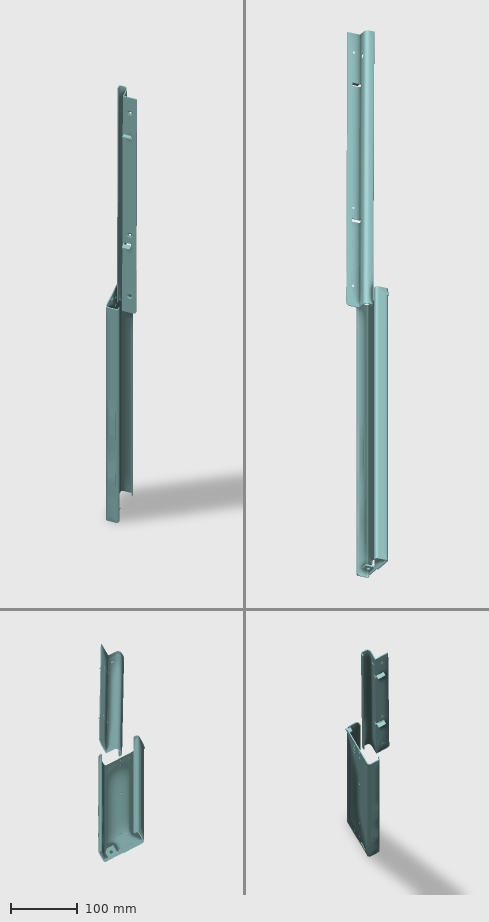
import cadquery as cq

sheet = 1.5
outer_radius = 4.0
rail_length = 450.0
total_length = 885.0

channel_width = 21.0
overall_height = 71.0
dip_depth = 2.0
channel_height = overall_height - dip_depth
upper_lip = 7.5
lower_lip = 6.0
channel_bottom = -total_length / 2
channel_top = channel_bottom + rail_length
end_step = 3.0
end_step_height = 33.0

fixing_diameter = 5.75
hole_pitch = 16.0
lower_row = 27.0
upper_row = lower_row + hole_pitch
fixing_from_top = 35.0
lower_row_depths = [8.0, fixing_from_top, 163.0, 355.0, 419.0]
upper_row_depths = [fixing_from_top - hole_pitch, fixing_from_top, fixing_from_top + hole_pitch, 430.0]

dip_right = channel_width - outer_radius
long_dip = (-239.0, 109.0, 37.0, 6.0)
short_dip = (-352.0, 75.0, 5.0, outer_radius)

bump_reach = 7.0
bump_drop = 8.0
bump_height = 6.0
bump_from_top = 5.0
bump_edge = outer_radius

window_bottom = -435.0
window_height = 16.0
window_low_y = 8.0
window_width = 16.0
window_notch = 5.0
stop_reach = 16.0
stop_thickness = 3.0
stop_chamfer = 4.0
stop_hole_diameter = 5.0
stop_hole_x = 8.0

hook_left = 8.4
hook_width = 15.0
hook_lip = 6.0
limb_right = hook_left + hook_width
flange_right = 44.0
hook_top_y = 39.0
flange_drop = 19.5
flange_top_y = hook_top_y - flange_drop
rail_tilt = 0.43
rail_top = total_length / 2
flange_corner_radius = 5.0
limb_bend_radius = 7.0
hook_bend_radius = 2.2

screw_x = 34.0
screw_depths = [32.0, 288.0, 416]
screw_diameter = 3.5
sink_diameter = 10.0
tab_left = limb_right
tab_width = 12.0
tab_thickness = 3.0
tab_length = 6.0
slot_height = 5.0
upper_slot_depth = 81.0
lower_slot_depth = 305.0
slot_rise = 3.5

limb_hole_diameter = 8.0
limb_hole_y = 26.5
limb_hole_depth = 38.0


def box(x_low, x_high, y_low, y_high, z_low, z_high):
    """Box given by its limits along each axis."""
    size = (x_high - x_low, y_high - y_low, z_high - z_low)
    return cq.Workplane("XY").box(*size, centered=False).translate((x_low, y_low, z_low))


def upright_edge(body, x, y):
    """The edge along Z nearest to the given place in the XY plane."""
    return body.edges("|Z").edges(cq.NearestToPointSelector((x, y, body.val().Center().z)))


def dip_solid(dip, inset, floor_y, drop):
    """Trapezoid trough that sinks from floor_y by drop, narrowed by inset on both sides."""
    centre, length, flat, left = dip
    x_low = left + inset
    x_high = dip_right - inset
    outline = [
        (floor_y, centre - length / 2),
        (floor_y - drop, centre - flat / 2),
        (floor_y - drop, centre + flat / 2),
        (floor_y, centre + length / 2),
    ]
    return cq.Workplane("YZ").polyline(outline).close().extrude(x_high - x_low).translate((x_low, 0, 0))


def channel_profile():
    """Plain C-channel, open towards +X, with rounded corners and two unequal lips."""
    outer = box(0, channel_width, 0, channel_height, channel_bottom, channel_top)
    outer = outer.edges("|Z").fillet(outer_radius)
    cavity = box(sheet, channel_width - sheet, sheet, channel_height - sheet, channel_bottom, channel_top)
    cavity = cavity.edges("|Z").fillet(outer_radius - sheet)
    mouth_high_y = channel_height - upper_lip
    mouth = box(channel_width / 2, channel_width, lower_lip, mouth_high_y, channel_bottom, channel_top)
    return outer.cut(cavity).cut(mouth)


def add_dips(channel):
    """Press the roller dips out of the lower flange, keeping the wall thickness."""
    for dip in (long_dip, short_dip):
        channel = channel.union(dip_solid(dip, 0, 0, dip_depth))
        channel = channel.cut(dip_solid(dip, sheet, sheet, dip_depth))
    return channel


def add_stop_bump(channel):
    """Press a hollow stop bump into the upper corner of the channel."""
    low = channel_top - bump_from_top - bump_height
    high = low + bump_height
    bump = box(0, bump_reach, channel_height - bump_drop, channel_height, low, high)
    recess_low_y = channel_height - bump_drop + sheet
    recess_high_y = channel_height - bump_edge
    recess = box(0, bump_reach - sheet, recess_low_y, recess_high_y, low + sheet, high - sheet)
    return channel.union(bump).cut(recess)


def web_holes():
    """Fixing holes through the web, as one set of cutters."""
    places = [(lower_row, channel_top - depth) for depth in lower_row_depths]
    places += [(upper_row, channel_top - depth) for depth in upper_row_depths]
    return cq.Workplane("YZ").pushPoints(places).circle(fixing_diameter / 2).extrude(sheet)


def window_cutter():
    """Rectangular window with one solid corner at its top, on the flange side."""
    high_y = window_low_y + window_width
    top = window_bottom + window_height
    window = box(0, sheet, window_low_y, high_y, window_bottom, top)
    corner = box(0, sheet, window_low_y, window_low_y + window_notch, top - window_notch, top)
    return window.cut(corner)


def make_cabinet_rail():
    """Cabinet rail with dips, stop bump, fixing holes, window and stepped end."""
    rail = add_stop_bump(add_dips(channel_profile()))
    rail = rail.cut(web_holes()).cut(window_cutter())
    step = box(0, sheet, outer_radius, end_step_height, channel_bottom, channel_bottom + end_step)
    return rail.cut(step)


def make_stop_plate():
    """Plate lying in the window on its lower edge, with one cut corner and a hole."""
    high_y = window_low_y + window_width
    plate = box(0, stop_reach, window_low_y, high_y, window_bottom, window_bottom + stop_thickness)
    plate = upright_edge(plate, stop_reach, window_low_y).chamfer(stop_chamfer)
    hole = cq.Workplane("XY").center(stop_hole_x, window_low_y + window_width / 2)
    hole = hole.circle(stop_hole_diameter / 2).extrude(stop_thickness).translate((0, 0, window_bottom))
    return plate.cut(hole)


def drawer_profile():
    """Hook, limb and flange of the drawer rail, bent from one sheet and hanging down from Z = 0."""
    outline = [
        (hook_left, hook_top_y - hook_lip),
        (hook_left, hook_top_y),
        (limb_right, hook_top_y),
        (limb_right, flange_top_y),
        (flange_right, flange_top_y),
        (flange_right, flange_top_y - sheet),
        (limb_right - sheet, flange_top_y - sheet),
        (limb_right - sheet, hook_top_y - sheet),
        (hook_left + sheet, hook_top_y - sheet),
        (hook_left + sheet, hook_top_y - hook_lip),
    ]
    profile = cq.Workplane("XY").polyline(outline).close().extrude(-rail_length)
    profile = upright_edge(profile, hook_left, hook_top_y).fillet(hook_bend_radius)
    profile = upright_edge(profile, hook_left + sheet, hook_top_y - sheet).fillet(hook_bend_radius - sheet)
    profile = upright_edge(profile, limb_right, hook_top_y).fillet(limb_bend_radius)
    profile = upright_edge(profile, limb_right - sheet, hook_top_y - sheet).fillet(limb_bend_radius - sheet)
    lower_corner = cq.NearestToPointSelector((flange_right, flange_top_y, -rail_length))
    return profile.edges("|Y").edges(lower_corner).fillet(flange_corner_radius)


def screw_hole(depth):
    """Countersunk screw hole, entering the flange from its -Y face."""
    face = cq.Workplane("XZ", origin=(screw_x, flange_top_y - sheet, -depth))
    drill = face.circle(screw_diameter / 2).extrude(-sheet)
    sink = face.circle(sink_diameter / 2).workplane(offset=-sheet).circle(screw_diameter / 2).loft()
    return drill.union(sink)


def limb_hole():
    """Round hole through the limb."""
    start = cq.Workplane("YZ", origin=(limb_right - sheet, limb_hole_y, -limb_hole_depth))
    return start.circle(limb_hole_diameter / 2).extrude(sheet)


def add_tab(rail, slot_depth, tab_is_above):
    """Slot in the flange with the tab bent out of it towards -Y."""
    high = -slot_depth
    low = high - slot_height
    tab_right = tab_left + tab_width
    slot = box(limb_right - sheet, tab_right, flange_top_y - sheet, flange_top_y + slot_rise, low, high)
    rail = rail.cut(slot)
    tab_low = high if tab_is_above else low - tab_thickness
    tab_tip = flange_top_y - sheet - tab_length
    tab = box(tab_left, tab_right, tab_tip, flange_top_y, tab_low, tab_low + tab_thickness)
    return rail.union(tab)


def make_drawer_rail():
    """Drawer rail, tilted slightly about the lower edge of its upper end."""
    rail = drawer_profile()
    for depth in screw_depths:
        rail = rail.cut(screw_hole(depth))
    rail = add_tab(rail, upper_slot_depth, tab_is_above=True)
    rail = add_tab(rail, lower_slot_depth, tab_is_above=False)
    rail = rail.cut(limb_hole())
    pivot_y = flange_top_y - sheet
    rail = rail.rotate((0, pivot_y, 0), (1, pivot_y, 0), -rail_tilt)
    return rail.translate((0, 0, rail_top))


cabinet_rail = make_cabinet_rail()
stop_plate = make_stop_plate()
drawer_rail = make_drawer_rail()

result = cq.Compound.makeCompound([cabinet_rail.val(), stop_plate.val(), drawer_rail.val()])